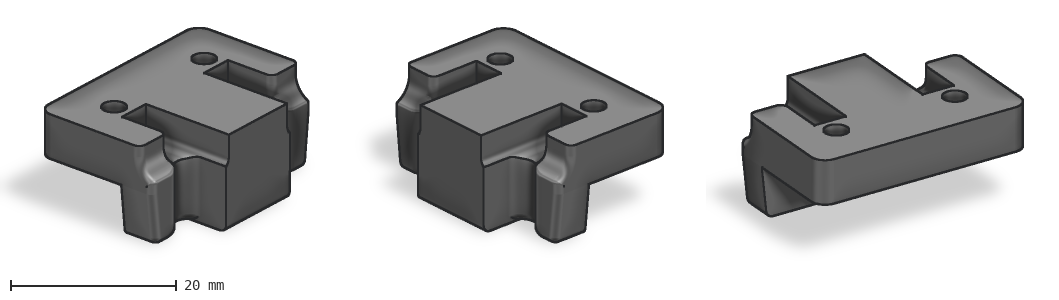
import cadquery as cq
import math

LENGTH = 22.0
WIDTH = 30.0
HEIGHT = 13.0
HALF_WIDTH = WIDTH / 2

PLATE_BOTTOM = 7.0
PLATE_CORNER_RADIUS = 2.0
FOOT_START = 13.0
FOOT_DRAFT = 6.0
FOOT_EDGE_RADIUS = 1.0
FOOT_INSET = PLATE_BOTTOM * math.tan(math.radians(FOOT_DRAFT))

ARM_END = 18.0
TONGUE_HALF_WIDTH = 6.0
NOTCH_RADIUS = 2.0
ARM_INNER_RADIUS = 3.0
ARM_EDGE_RADIUS = 1.0
ARM_LIP_RADIUS = 0.5
RELIEF_RADIUS = 3.0
RELIEF_START = 16.0
RELIEF_ARC_TOP = 11.5
TONGUE_TIP_RADIUS = 1.0

SLOT_START = 9.0
SLOT_INNER = 5.5
SLOT_OUTER = 10.0
SLOT_FLOOR = 8.5
SLOT_FILLET = 1.5

HOLE_X = 6.5
HOLE_Y = 8.5
HOLE_DIAMETER = 3.1


def arm_blank():
    """Block of the +Y half up to the arm end, with the notch beside the tongue."""
    notch_y = TONGUE_HALF_WIDTH + NOTCH_RADIUS
    inner_x = ARM_END - ARM_INNER_RADIUS
    centre_distance = NOTCH_RADIUS + ARM_INNER_RADIUS
    inner_y = notch_y + math.sqrt(centre_distance**2 - ARM_INNER_RADIUS**2)
    share = NOTCH_RADIUS / centre_distance
    touch = (ARM_END + share * (inner_x - ARM_END), notch_y + share * (inner_y - notch_y))
    corner_turn = math.atan2(touch[1] - inner_y, touch[0] - inner_x) / 2
    corner_mid = (
        inner_x + ARM_INNER_RADIUS * math.cos(corner_turn),
        inner_y + ARM_INNER_RADIUS * math.sin(corner_turn),
    )
    return (
        cq.Workplane("XY")
        .moveTo(0, 0)
        .lineTo(0, HALF_WIDTH)
        .lineTo(ARM_END, HALF_WIDTH)
        .lineTo(ARM_END, inner_y)
        .threePointArc(corner_mid, touch)
        .threePointArc((ARM_END - NOTCH_RADIUS, notch_y), (ARM_END, TONGUE_HALF_WIDTH))
        .lineTo(ARM_END, 0)
        .close()
        .extrude(HEIGHT)
    )


def foot_clearance():
    """Space under the plate and outside the drafted foot side, +Y half."""
    under_plate = cq.Workplane("XY").box(FOOT_START, HALF_WIDTH, PLATE_BOTTOM, centered=False)
    draft_wedge = (
        cq.Workplane("YZ")
        .polyline([(HALF_WIDTH, PLATE_BOTTOM), (HALF_WIDTH, 0), (HALF_WIDTH - FOOT_INSET, 0)])
        .close()
        .extrude(ARM_END)
    )
    return under_plate.union(draft_wedge)


def slot():
    """Slot beside the tongue with filleted floor, +Y side."""
    arc_dip = SLOT_FILLET * (1 - math.sqrt(0.5))
    fillet_top = SLOT_FLOOR + SLOT_FILLET
    return (
        cq.Workplane("YZ", origin=(SLOT_START, 0, 0))
        .moveTo(SLOT_INNER, HEIGHT)
        .lineTo(SLOT_INNER, fillet_top)
        .threePointArc(
            (SLOT_INNER + arc_dip, SLOT_FLOOR + arc_dip),
            (SLOT_INNER + SLOT_FILLET, SLOT_FLOOR),
        )
        .lineTo(SLOT_OUTER - SLOT_FILLET, SLOT_FLOOR)
        .threePointArc((SLOT_OUTER - arc_dip, SLOT_FLOOR + arc_dip), (SLOT_OUTER, fillet_top))
        .lineTo(SLOT_OUTER, HEIGHT)
        .close()
        .extrude(LENGTH - SLOT_START)
    )


def arm_relief():
    """Hollow that thins the top of the arm end, +Y side."""
    centre_x = RELIEF_START + RELIEF_RADIUS
    slot_middle = (SLOT_INNER + SLOT_OUTER) / 2
    tool_width = HALF_WIDTH - slot_middle
    upper = (
        cq.Workplane("XY")
        .box(2 * RELIEF_RADIUS, tool_width, HEIGHT - RELIEF_ARC_TOP, centered=False)
        .translate((RELIEF_START, slot_middle, RELIEF_ARC_TOP))
    )
    scoop = (
        cq.Workplane("XZ", origin=(centre_x, slot_middle, RELIEF_ARC_TOP))
        .circle(RELIEF_RADIUS)
        .extrude(-tool_width)
    )
    return upper.union(scoop)


def fillet_at(body, radius, points):
    """Fillet the edge nearest to each point, all in one go."""
    edges = []
    for point in points:
        edges += body.edges(cq.selectors.NearestToPointSelector(point)).vals()
    return body.newObject(edges).fillet(radius)


def arm():
    """Plate and foot of the +Y half with the arm end rounded."""
    body = arm_blank().cut(foot_clearance()).cut(slot()).cut(arm_relief())
    plate_middle = (PLATE_BOTTOM + HEIGHT) / 2
    body = fillet_at(body, PLATE_CORNER_RADIUS, [(0, HALF_WIDTH, plate_middle)])

    foot_middle = (FOOT_START + ARM_END) / 2
    body = fillet_at(body, FOOT_EDGE_RADIUS, [(foot_middle, HALF_WIDTH - FOOT_INSET, 0)])

    lip_reach = RELIEF_START + RELIEF_RADIUS - ARM_END
    lip_z = RELIEF_ARC_TOP - math.sqrt(RELIEF_RADIUS**2 - lip_reach**2)
    relief_top_middle = (RELIEF_ARC_TOP + HEIGHT) / 2
    corner_edges = [
        (RELIEF_START, SLOT_OUTER, relief_top_middle),
        (RELIEF_START, HALF_WIDTH, relief_top_middle),
        (ARM_END, HALF_WIDTH, (PLATE_BOTTOM + lip_z) / 2),
        (ARM_END, HALF_WIDTH - FOOT_INSET / 2, PLATE_BOTTOM / 2),
    ]
    body = fillet_at(body, ARM_EDGE_RADIUS, corner_edges)
    lip_y = HALF_WIDTH - 2 * ARM_EDGE_RADIUS
    rounded = fillet_at(body, ARM_LIP_RADIUS, [(ARM_END, lip_y, lip_z)])

    slot_side = cq.Workplane("XY").box(ARM_END, SLOT_OUTER, HEIGHT, centered=False)
    return rounded.union(body.intersect(slot_side))


def tongue():
    """+Y half of the tongue, from the foot start to the rounded tip."""
    length = LENGTH - FOOT_START
    body = (
        cq.Workplane("XY")
        .box(length, TONGUE_HALF_WIDTH, HEIGHT, centered=False)
        .translate((FOOT_START, 0, 0))
        .cut(slot())
    )
    return fillet_at(body, TONGUE_TIP_RADIUS, [(LENGTH, TONGUE_HALF_WIDTH / 2, 0)])


def screw_hole():
    """Through hole for one screw, +Y side."""
    return cq.Workplane("XY").center(HOLE_X, HOLE_Y).circle(HOLE_DIAMETER / 2).extrude(HEIGHT)


half = arm().union(tongue()).cut(screw_hole())
result = half.union(half.mirror("XZ")).clean()